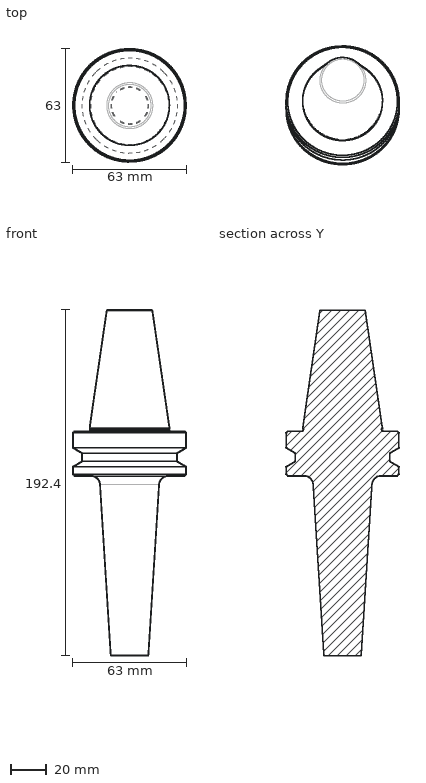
import cadquery as cq
import math


GAUGE_RADIUS = 44.45 / 2
SHANK_LENGTH = 65.4
SHANK_TAPER = 7 / 24
SHANK_END_FILLET = 1.0

RELIEF_DEPTH = 0.5
RELIEF_WIDTH = 1.0

FLANGE_RADIUS = 63 / 2
FLANGE_TOP_Z = -2.0
FLANGE_BOTTOM_Z = -27.0
FLANGE_CHAMFER = 1.0
GROOVE_CENTRE_Z = -16.6
GROOVE_FLOOR_RADIUS = 53 / 2
GROOVE_FLOOR_WIDTH = 4.6
GROOVE_WALL_ANGLE = 30

TIP_Z = -127.0
TIP_RADIUS = 10.5
TIP_CHAMFER = 0.4
NOSE_ANGLE = 3.6
NOSE_FILLET = 5.0


def shank_profile():
    """Radius and height points from the top face down to the flange."""
    top_radius = GAUGE_RADIUS - SHANK_LENGTH * SHANK_TAPER / 2
    relief_centre_z = FLANGE_TOP_Z / 2
    return [
        (0, SHANK_LENGTH),
        (top_radius, SHANK_LENGTH),
        (GAUGE_RADIUS, 0),
        (GAUGE_RADIUS, relief_centre_z + RELIEF_WIDTH / 2),
        (GAUGE_RADIUS - RELIEF_DEPTH, relief_centre_z),
        (GAUGE_RADIUS, relief_centre_z - RELIEF_WIDTH / 2),
        (GAUGE_RADIUS, FLANGE_TOP_Z),
    ]


def flange_profile():
    """Points down the outside of the flange, including the V-groove."""
    half_floor = GROOVE_FLOOR_WIDTH / 2
    wall_drop = (FLANGE_RADIUS - GROOVE_FLOOR_RADIUS) * math.tan(math.radians(GROOVE_WALL_ANGLE))
    half_mouth = half_floor + wall_drop
    return [
        (FLANGE_RADIUS - FLANGE_CHAMFER, FLANGE_TOP_Z),
        (FLANGE_RADIUS, FLANGE_TOP_Z - FLANGE_CHAMFER),
        (FLANGE_RADIUS, GROOVE_CENTRE_Z + half_mouth),
        (GROOVE_FLOOR_RADIUS, GROOVE_CENTRE_Z + half_floor),
        (GROOVE_FLOOR_RADIUS, GROOVE_CENTRE_Z - half_floor),
        (FLANGE_RADIUS, GROOVE_CENTRE_Z - half_mouth),
        (FLANGE_RADIUS, FLANGE_BOTTOM_Z + FLANGE_CHAMFER),
        (FLANGE_RADIUS - FLANGE_CHAMFER, FLANGE_BOTTOM_Z),
    ]


def nose_radius(z):
    """Radius of the nose cone at height z."""
    return TIP_RADIUS + (z - TIP_Z) * math.tan(math.radians(NOSE_ANGLE))


def make_body():
    """Revolve the outline; an arc blends the flange into the nose cone."""
    slope = math.radians(NOSE_ANGLE)
    arc_centre_z = FLANGE_BOTTOM_Z - NOSE_FILLET
    arc_centre_r = nose_radius(arc_centre_z) + NOSE_FILLET / math.cos(slope)

    def arc_point(angle):
        return (
            arc_centre_r - NOSE_FILLET * math.cos(angle),
            arc_centre_z + NOSE_FILLET * math.sin(angle),
        )

    arc_start = (arc_centre_r, FLANGE_BOTTOM_Z)
    arc_middle = arc_point((math.pi / 2 + slope) / 2)
    arc_end = arc_point(slope)
    chamfer_top_z = TIP_Z + TIP_CHAMFER

    outline = (
        cq.Workplane("XZ")
        .polyline(shank_profile() + flange_profile() + [arc_start])
        .threePointArc(arc_middle, arc_end)
        .lineTo(nose_radius(chamfer_top_z), chamfer_top_z)
        .lineTo(TIP_RADIUS - TIP_CHAMFER, TIP_Z)
        .lineTo(0, TIP_Z)
        .close()
    )
    return outline.revolve(360, (0, 0, 0), (0, 1, 0))


def round_shank_end(body):
    """Round the rim of the flat small end of the shank."""
    return body.faces(">Z").edges().fillet(SHANK_END_FILLET)


result = round_shank_end(make_body())